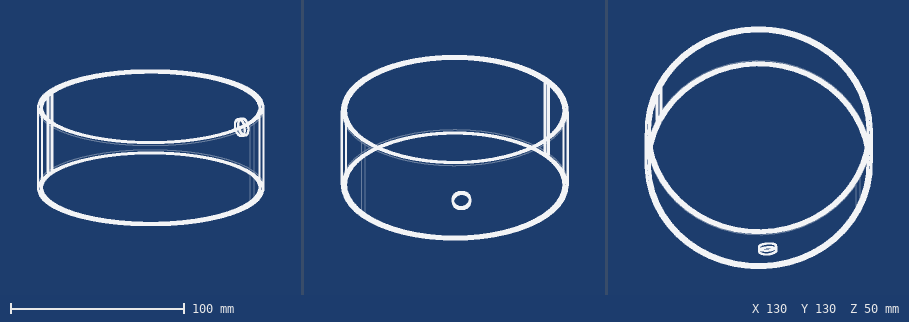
import cadquery as cq

outer_diameter = 130.0
height = 50.0
wall = 2.5
outer_bevel_height = 1.5
outer_bevel_width = 0.43
inner_bevel = 0.8
split_width = 1.0
hole_diameter = 10.0
hole_angle = 59.0

outer_radius = outer_diameter / 2
inner_radius = outer_radius - wall
mid_height = height / 2


def bevelled_ring():
    """Thin ring with its inner and outer rims bevelled at both ends."""
    profile = [
        (inner_radius, inner_bevel),
        (inner_radius + inner_bevel, 0),
        (outer_radius - outer_bevel_width, 0),
        (outer_radius, outer_bevel_height),
        (outer_radius, height - outer_bevel_height),
        (outer_radius - outer_bevel_width, height),
        (inner_radius + inner_bevel, height),
        (inner_radius, height - inner_bevel),
    ]
    return cq.Workplane("XZ").polyline(profile).close().revolve(360, (0, 0), (0, 1))


def split_cutter():
    """Narrow gap through the -X wall, with one face on the ring's centre plane."""
    return cq.Workplane("XY").box(outer_radius, split_width, height, centered=False).translate(
        (-outer_radius, 0, 0)
    )


def hole_cutter():
    """Radial hole through one side of the wall at mid height."""
    return (
        cq.Workplane("YZ")
        .center(0, mid_height)
        .circle(hole_diameter / 2)
        .extrude(outer_diameter)
        .rotate((0, 0, 0), (0, 0, 1), hole_angle)
    )


result = bevelled_ring().cut(split_cutter()).cut(hole_cutter())